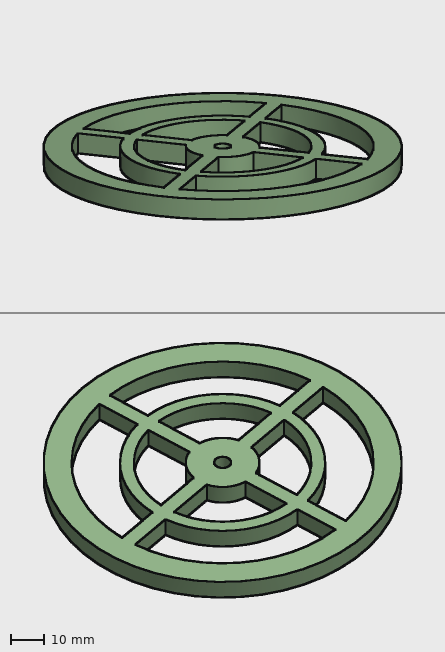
import cadquery as cq

rim_outer_diameter = 107.0
rim_inner_diameter = 90.2
ring_outer_diameter = 61.3
ring_inner_diameter = 53.0
hub_diameter = 22.0
bore_diameter = 5.0
spoke_width = 5.0
thickness = 6.3


def disc(diameter):
    return cq.Workplane("XY").circle(diameter / 2).extrude(thickness)


def annulus(outer_diameter, inner_diameter):
    return disc(outer_diameter).cut(disc(inner_diameter))


rim = annulus(rim_outer_diameter, rim_inner_diameter)
ring = annulus(ring_outer_diameter, ring_inner_diameter)
hub = disc(hub_diameter)

bar_length = (rim_outer_diameter + rim_inner_diameter) / 2
bar = cq.Workplane("XY").rect(bar_length, spoke_width).extrude(thickness)
spokes = bar.union(bar.rotate((0, 0, 0), (0, 0, 1), 90))

wheel = rim.union(spokes).union(ring).union(hub)
result = wheel.cut(disc(bore_diameter))